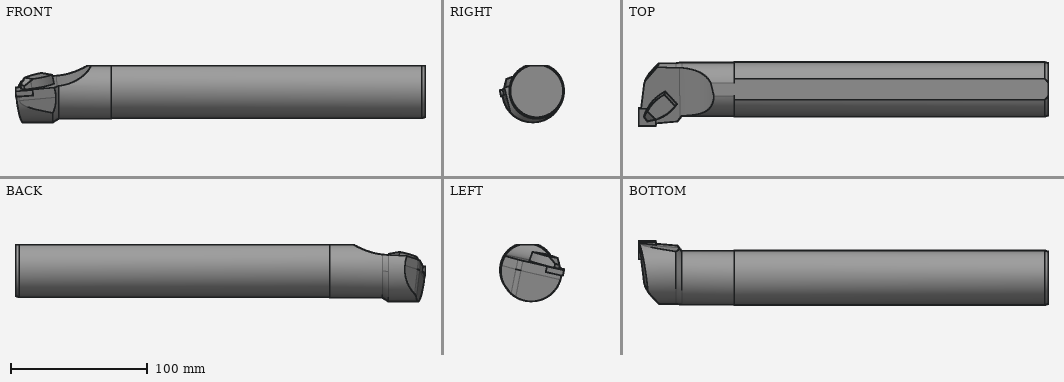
import cadquery as cq
import math

TOTAL_LENGTH = 300.0
SHANK_RADIUS = 20.0
SHANK_START = 70.0
FLAT_HEIGHT = 18.5
END_CHAMFER_LENGTH = 2.7
END_CHAMFER_DEPTH = 1.0

NECK_RADIUS = 19.8
NECK_CENTRE = (0.0, -0.5)
NECK_START = 31.5
HEAD_RADIUS = 22.2
HEAD_CENTRE = (-3.0, -1.0)
HEAD_END = 27.3

DECK_Z = 5.7
DECK_RISE_X = 0.07
DECK_RISE_Y = 0.22
RUNOUT_START = 30.0
RUNOUT_RADIUS = 39.0

RELIEF_DEPTH = 7.2
RELIEF_ANGLE = 3.0
CORNER_RADIUS = 7.2
CLEARANCE = 60.0

OVERALL_WIDTH = 47.0
TIP_Y = SHANK_RADIUS - OVERALL_WIDTH
INSERT_SIDE = 12.5
INSERT_THICKNESS = 4.2

CLAMP_HEIGHT = 7.0
CLAMP_TAPER = 6.0
NOSE_TIP = (6.0, -22.8)
NOSE_HEIGHT = 2.5
NOSE_LENGTH = 6.5

DECK = cq.Plane(
    origin=(0, 0, DECK_Z),
    xDir=(1, 0, DECK_RISE_X),
    normal=(-DECK_RISE_X, -DECK_RISE_Y, 1),
)


def on_deck(x, y):
    """Deck-plane coordinates of the deck point above plan position (x, y)."""
    z = DECK_Z + DECK_RISE_X * x + DECK_RISE_Y * y
    local = DECK.toLocalCoords(cq.Vector(x, y, z))
    return (local.x, local.y)


def deck_plane(height=0.0):
    return cq.Workplane(DECK).workplane(offset=height)


def cross_section(x):
    return cq.Workplane("YZ", origin=(x, 0, 0))


def make_shank():
    chamfer_start = TOTAL_LENGTH - END_CHAMFER_LENGTH
    end_radius = SHANK_RADIUS - END_CHAMFER_DEPTH
    profile = [
        (SHANK_START, 0),
        (SHANK_START, SHANK_RADIUS),
        (chamfer_start, SHANK_RADIUS),
        (TOTAL_LENGTH, end_radius),
        (TOTAL_LENGTH, 0),
    ]
    return cq.Workplane("XY").polyline(profile).close().revolve(360, (0, 0, 0), (1, 0, 0))


def make_neck():
    neck = cross_section(NECK_START).center(*NECK_CENTRE).circle(NECK_RADIUS)
    return neck.extrude(SHANK_START - NECK_START)


def make_head_blank():
    shift = [n - h for n, h in zip(NECK_CENTRE, HEAD_CENTRE)]
    cone = cross_section(HEAD_END).center(*HEAD_CENTRE).circle(HEAD_RADIUS)
    cone = cone.workplane(offset=NECK_START - HEAD_END).center(*shift).circle(NECK_RADIUS).loft()
    head = cross_section(0).center(*HEAD_CENTRE).circle(HEAD_RADIUS).extrude(HEAD_END)
    return head.union(cone)


def make_flank_envelope():
    """Space inside the end face, the bevelled corner and the side flank."""
    outline = [
        (0.3, -26.0),
        (4.2, 5.5),
        (22.2, 26.0),
        (36.0, CLEARANCE),
        (2 * CLEARANCE, CLEARANCE),
        (2 * CLEARANCE, -15.5),
    ]
    points = [on_deck(*p) for p in outline]
    bevel_corner = points[1]

    def flank_prism(length, taper):
        prism = deck_plane(-RELIEF_DEPTH).polyline(points).close().extrude(length, taper=taper)
        shrink = length / 2 * math.tan(math.radians(taper))
        edge_middle = DECK.toWorldCoords(
            (bevel_corner[0] - shrink, bevel_corner[1], length / 2 - RELIEF_DEPTH)
        )
        corner_edge = cq.selectors.NearestToPointSelector(edge_middle.toTuple())
        return prism.edges(corner_edge).fillet(CORNER_RADIUS)

    return flank_prism(CLEARANCE, 0).union(flank_prism(-CLEARANCE, RELIEF_ANGLE))


def make_deck_cutter():
    """Space above the deck, curving upwards at its rear to run out on the neck."""
    arc_offset = RUNOUT_RADIUS * math.sin(math.radians(45))
    profile = cq.Workplane(cq.Plane(origin=DECK.origin, xDir=DECK.xDir, normal=-DECK.yDir))
    profile = (
        profile.moveTo(-CLEARANCE, 0)
        .lineTo(RUNOUT_START, 0)
        .threePointArc(
            (RUNOUT_START + arc_offset, RUNOUT_RADIUS - arc_offset),
            (RUNOUT_START + RUNOUT_RADIUS, RUNOUT_RADIUS),
        )
        .lineTo(-CLEARANCE, RUNOUT_RADIUS)
        .close()
    )
    return profile.extrude(CLEARANCE, both=True)


def make_clamp():
    """Rounded triangular clamp with a nose sloping down to the insert."""
    clamp = (
        deck_plane()
        .moveTo(*on_deck(19.5, -1.5))
        .lineTo(*on_deck(28.2, -10.8))
        .threePointArc(on_deck(21.3, -17.7), on_deck(11.7, -22.0))
        .lineTo(*on_deck(6.5, -23.5))
        .lineTo(*on_deck(4.0, -19.8))
        .threePointArc(on_deck(10.8, -8.0), on_deck(19.5, -1.5))
        .close()
        .extrude(CLAMP_HEIGHT, taper=CLAMP_TAPER)
    )
    tip = DECK.toWorldCoords(on_deck(*NOSE_TIP))
    along = (DECK.xDir + DECK.yDir).normalized()
    nose_plane = cq.Plane(origin=tip, xDir=along, normal=along.cross(DECK.zDir))
    slope = (CLAMP_HEIGHT - NOSE_HEIGHT) / NOSE_LENGTH
    nose = [
        (-NOSE_LENGTH, NOSE_HEIGHT - slope * NOSE_LENGTH),
        (2 * NOSE_LENGTH, NOSE_HEIGHT + 2 * slope * NOSE_LENGTH),
        (-NOSE_LENGTH, NOSE_HEIGHT + 2 * slope * NOSE_LENGTH),
    ]
    cutter = cq.Workplane(nose_plane).polyline(nose).close().extrude(CLEARANCE, both=True)
    return clamp.cut(cutter)


def make_insert():
    corners = [
        (0, TIP_Y),
        (INSERT_SIDE, TIP_Y),
        (INSERT_SIDE, TIP_Y + INSERT_SIDE),
        (0, TIP_Y + INSERT_SIDE),
    ]
    points = [on_deck(*c) for c in corners]
    return deck_plane().polyline(points).close().extrude(-INSERT_THICKNESS)


def make_holder(insert):
    head = make_head_blank().intersect(make_flank_envelope())
    body = head.union(make_neck()).union(make_shank()).cut(make_deck_cutter())
    above_flat = cq.Workplane("XY").workplane(offset=FLAT_HEIGHT)
    above_flat = above_flat.rect(3 * TOTAL_LENGTH, CLEARANCE).extrude(CLEARANCE)
    return body.cut(above_flat).cut(insert).union(make_clamp())


insert = make_insert()
holder = make_holder(insert)
result = cq.Compound.makeCompound([holder.val(), insert.val()])